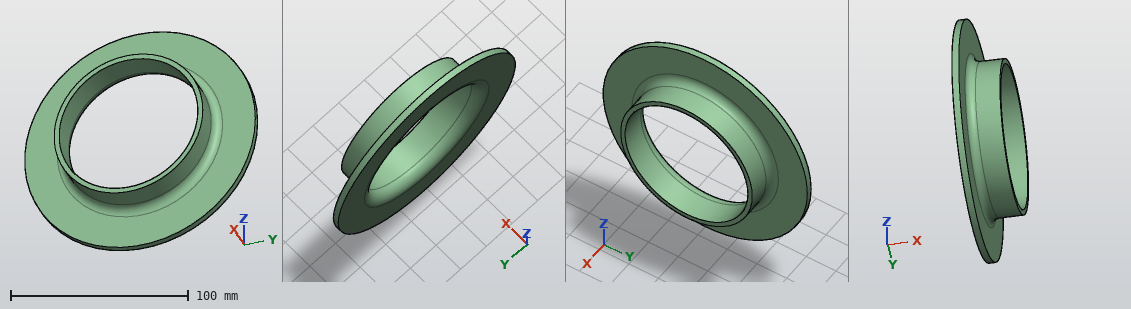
import cadquery as cq

flange_diameter = 138.0
flange_thickness = 4.0
neck_outer_diameter = 88.9
neck_wall = 3.0
overall_length = 23.0
bore_round_radius = 7.0
neck_fillet_radius = 5.0

bore_diameter = neck_outer_diameter - 2 * neck_wall


def make_flange():
    """Disc with its flat face on X = 0, extending toward +X."""
    return cq.Workplane("YZ").circle(flange_diameter / 2).extrude(flange_thickness)


def make_neck():
    """Solid cylinder running the full length of the part along X."""
    return cq.Workplane("YZ").circle(neck_outer_diameter / 2).extrude(overall_length)


def fillet_neck_root(body):
    """Fillet the corner where the neck leaves the back of the flange."""
    flange_back = body.faces("%PLANE").faces(">X[-2]")
    root_edge = cq.selectors.RadiusNthSelector(0)
    return flange_back.edges(root_edge).fillet(neck_fillet_radius)


def cut_bore(body):
    """Bore through the part and round its mouth at the flange face."""
    bored = body.faces("<X").workplane().hole(bore_diameter)
    mouth_edge = cq.selectors.RadiusNthSelector(0)
    return bored.faces("<X").edges(mouth_edge).fillet(bore_round_radius)


result = cut_bore(fillet_neck_root(make_flange().union(make_neck())))